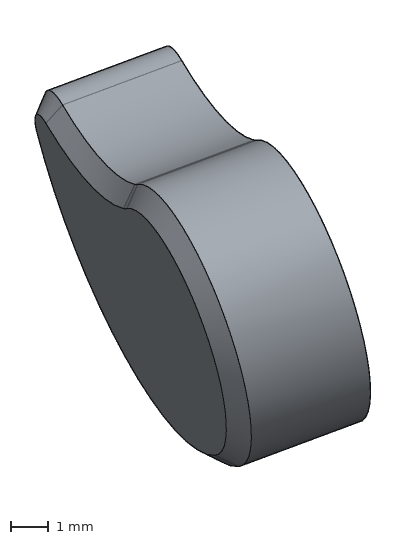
import cadquery as cq
import math

length = 13.25
height = 9.41
thickness = 4.0
chamfer = 0.5

head_radius = 4.0
belly_radius = 7.5
tip_radius = 1.25
back_radius = 6.75
neck_radius = 2.45

neck_angle = 144.8


def toward(start, end, distance):
    """Point at a distance from start, along the line to end."""
    ratio = distance / math.dist(start, end)
    return (start[0] + ratio * (end[0] - start[0]), start[1] + ratio * (end[1] - start[1]))


def polar(radius, angle):
    """Point on a circle around the head centre."""
    return (radius * math.cos(math.radians(angle)), radius * math.sin(math.radians(angle)))


def center_left_of(first, first_distance, second, second_distance):
    """Point at given distances from two points, to the left of the line from first to second."""
    span = math.dist(first, second)
    along = (span**2 + first_distance**2 - second_distance**2) / (2 * span)
    across = math.sqrt(first_distance**2 - along**2)
    foot = toward(first, second, along)
    normal_x = -(second[1] - first[1]) / span
    normal_z = (second[0] - first[0]) / span
    return (foot[0] + across * normal_x, foot[1] + across * normal_z)


head = (0.0, 0.0)
belly_z = head_radius + belly_radius - height
belly_x = -math.sqrt((belly_radius - head_radius)**2 - belly_z**2)
belly = (belly_x, belly_z)

tip_x = head_radius - length + tip_radius
tip_z = belly_z - math.sqrt((belly_radius - tip_radius)**2 - (tip_x - belly_x)**2)
tip = (tip_x, tip_z)

neck = polar(head_radius + neck_radius, neck_angle)
back = center_left_of(tip, back_radius + tip_radius, neck, back_radius - neck_radius)

head_neck = toward(head, neck, head_radius)
neck_back = toward(back, neck, back_radius)
back_tip = toward(tip, back, tip_radius)
tip_belly = toward(belly, tip, belly_radius)
belly_head = toward(belly, head, belly_radius)


def middle_of_arc(center, radius, start, end):
    """Middle point of the shorter arc between two points on a circle."""
    chord_middle = ((start[0] + end[0]) / 2, (start[1] + end[1]) / 2)
    return toward(center, chord_middle, radius)


head_far_side = (head_radius, 0.0)

outline = (
    cq.Workplane("XZ")
    .moveTo(*head_neck)
    .threePointArc(middle_of_arc(neck, neck_radius, head_neck, neck_back), neck_back)
    .threePointArc(middle_of_arc(back, back_radius, neck_back, back_tip), back_tip)
    .threePointArc(middle_of_arc(tip, tip_radius, back_tip, tip_belly), tip_belly)
    .threePointArc(middle_of_arc(belly, belly_radius, tip_belly, belly_head), belly_head)
    .threePointArc(head_far_side, head_neck)
    .close()
)

result = outline.extrude(thickness).faces("<Y").chamfer(chamfer)